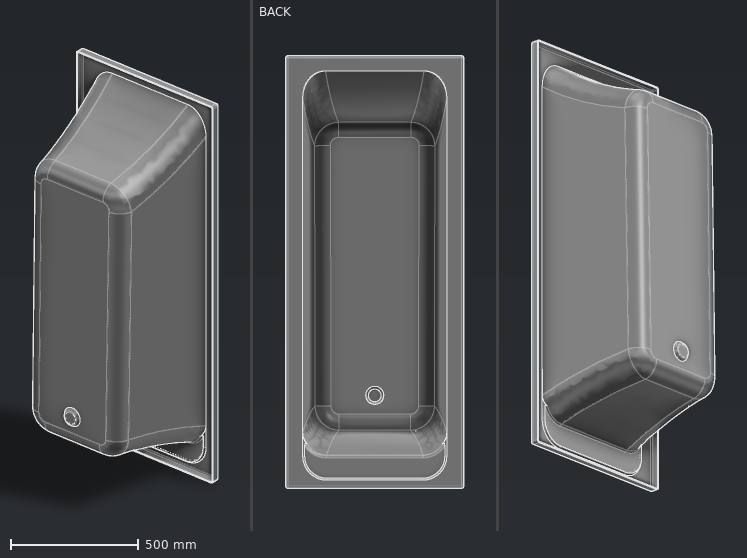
import cadquery as cq


LENGTH = 1700.0
WIDTH = 700.0
SHEET = 5.0
LIP_DEPTH = 38.0
RIM_RADIUS = 10.0

OPENING_WIDTH = 576.0
CORNER_RADIUS = 100.0
LEDGE_MARGIN = 27.0
LEDGE_LENGTH = 400.0
LEDGE_DEPTH = 8.0
LEDGE_TAPER = 45.0
LEDGE_WALL_FILLET = 8.0

BASIN_TOP_WIDTH = OPENING_WIDTH
BASIN_FLOOR_WIDTH = 464.0
FLOOR_DEPTH_HEAD = 462.0
FLOOR_DEPTH_FOOT = 482.0
FLOOR_RADIUS = 68.0
HEAD_TOP_INSET = 56.0
HEAD_MIDDLE_INSET = 180.0
HEAD_FLOOR_INSET = 269.0
FOOT_TOP_INSET = 120.0
FOOT_MIDDLE_INSET = 186.0
FOOT_FLOOR_INSET = 229.0
END_MIDDLE_DEPTH = 208.0

TOTAL_DEPTH = 494.0
DRAIN_FROM_FOOT_END = 365.0
DRAIN_BASE_RADIUS = 41.0
DRAIN_TIP_RADIUS = 30.0
DRAIN_TIP_FILLET = 5.0
DRAIN_HEIGHT = 15.0

SELECT_MARGIN = 0.1

HEAD_END = LENGTH / 2
FOOT_END = -LENGTH / 2


def rim_block(inset, depth):
    """Rim box with rounded corners and top edges, set in from its outer skin."""
    radius = RIM_RADIUS - inset
    return (
        cq.Workplane("XY")
        .box(WIDTH - 2 * inset, depth - inset, LENGTH - 2 * inset)
        .translate((0, -(depth + inset) / 2, 0))
        .edges("|Y")
        .fillet(radius)
        .faces(">Y")
        .edges()
        .fillet(radius)
    )


def ledge_block(inset):
    """Tapered shallow block of the foot ledge, starting under the rim sheet when inset is 0."""
    foot = FOOT_END + LEDGE_MARGIN + inset
    length = LEDGE_LENGTH - 2 * inset
    plane = cq.Plane(
        origin=(0, inset - SHEET, foot + length / 2), xDir=(1, 0, 0), normal=(0, -1, 0)
    )
    corner_radius = CORNER_RADIUS - inset
    outline = cq.Sketch().rect(OPENING_WIDTH - 2 * inset, length).vertices().fillet(corner_radius)
    return cq.Workplane(plane).placeSketch(outline).extrude(LEDGE_DEPTH, taper=LEDGE_TAPER)


def basin_block(inset):
    """Solid of the basin, set in from its outer skin on all walls and the floor."""
    head = HEAD_END - inset
    foot = FOOT_END + inset
    head_floor_depth = FLOOR_DEPTH_HEAD - inset
    foot_floor_depth = FLOOR_DEPTH_FOOT - inset
    side_profile = (
        cq.Workplane("YZ")
        .moveTo(0, head - HEAD_TOP_INSET)
        .threePointArc(
            (-END_MIDDLE_DEPTH, head - HEAD_MIDDLE_INSET),
            (-head_floor_depth, head - HEAD_FLOOR_INSET),
        )
        .lineTo(-foot_floor_depth, foot + FOOT_FLOOR_INSET)
        .threePointArc(
            (-END_MIDDLE_DEPTH, foot + FOOT_MIDDLE_INSET),
            (0, foot + FOOT_TOP_INSET),
        )
        .close()
        .extrude(WIDTH / 2, both=True)
    )
    half_top = BASIN_TOP_WIDTH / 2 - inset
    half_floor = BASIN_FLOOR_WIDTH / 2 - inset
    cross_section = (
        cq.Workplane("XY")
        .polyline([
            (-half_top, 0),
            (half_top, 0),
            (half_floor, -FLOOR_DEPTH_FOOT),
            (-half_floor, -FLOOR_DEPTH_FOOT),
        ])
        .close()
        .extrude(LENGTH / 2, both=True)
    )
    basin = side_profile.intersect(cross_section)
    basin = basin.edges("%ELLIPSE").fillet(CORNER_RADIUS - inset)
    return basin.faces("<Y").edges().fillet(FLOOR_RADIUS - inset)


def drain_cone(inset):
    """Conical outlet, reaching from inside the basin floor to the lowest point."""
    height = TOTAL_DEPTH - inset
    top = height - DRAIN_HEIGHT
    plane = cq.Plane(
        origin=(0, -top, FOOT_END + DRAIN_FROM_FOOT_END), xDir=(1, 0, 0), normal=(0, -1, 0)
    )
    return (
        cq.Workplane(plane)
        .circle(DRAIN_BASE_RADIUS - inset)
        .workplane(offset=DRAIN_HEIGHT)
        .circle(DRAIN_TIP_RADIUS - inset)
        .loft(ruled=True)
    )


def tub_body(inset):
    """Basin and foot ledge as one body, blended where the foot wall meets the ledge."""
    body = basin_block(inset).union(ledge_block(inset))
    ledge_level = inset - SHEET - LEDGE_DEPTH
    half_width = OPENING_WIDTH / 2 - CORNER_RADIUS / 4
    foot_wall_edge = cq.selectors.BoxSelector(
        (-half_width, ledge_level - SELECT_MARGIN, FOOT_END + FOOT_TOP_INSET),
        (half_width, ledge_level + SELECT_MARGIN, 0),
    )
    return body.edges(foot_wall_edge).fillet(LEDGE_WALL_FILLET + inset)


def rim():
    """Rim sheet with its downturned lip, open underneath."""
    return rim_block(0, LIP_DEPTH).cut(rim_block(SHEET, LIP_DEPTH + SHEET))


def drain():
    """Outer skin of the outlet with a rounded tip."""
    return drain_cone(0).faces("<Y").edges().fillet(DRAIN_TIP_FILLET)


tub_outside = tub_body(0).union(drain())
tub_inside = tub_body(SHEET).union(drain_cone(SHEET))
result = rim().union(tub_outside).cut(tub_inside)